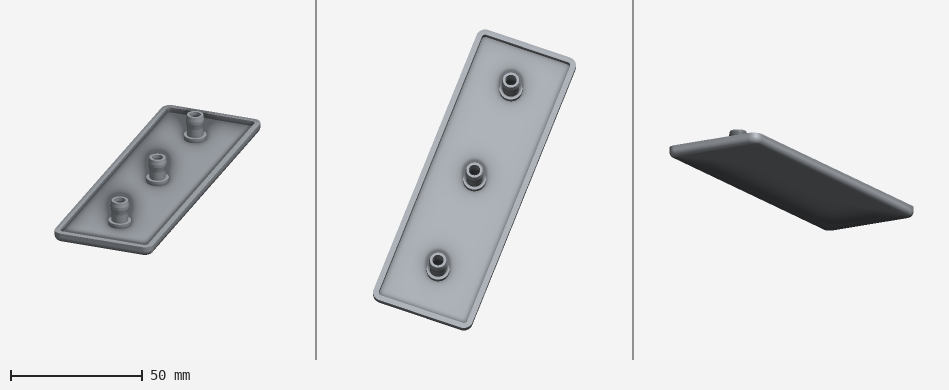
import cadquery as cq

length = 120.0
width = length / 3
plate_height = length / 30
corner_radius = 3.5
bottom_fillet = 2.2
wall = 2.2
pocket_depth = 2.0
floor_z = plate_height - pocket_depth

total_height = length / 10
post_pitch = length / 3
collar_radius = 4.3
collar_height = 1.7
shank_radius = 3.1
bulge_radius = 3.5
tip_radius = shank_radius
bulge_start_z = 7.0
bulge_low_z = 9.1
bulge_high_z = 10.2

hole_radius = 2.2
dome_center_z = floor_z + hole_radius


def rounded_block(size_x, size_y, height, radius):
    block = cq.Workplane("XY").box(size_x, size_y, height, centered=(True, True, False))
    return block.edges("|Z").fillet(radius)


def make_tray():
    tray = rounded_block(width, length, plate_height, corner_radius)
    tray = tray.faces("<Z").edges().fillet(bottom_fillet)
    pocket = rounded_block(width - 2 * wall, length - 2 * wall, pocket_depth, corner_radius - wall)
    return tray.cut(pocket.translate((0, 0, floor_z)))


def make_post():
    """Hollow barbed post with a collar, revolved about Z and rooted in the middle of the tray floor."""
    root_z = floor_z / 2
    collar_top_z = floor_z + collar_height
    return (
        cq.Workplane("XZ")
        .moveTo(0, root_z)
        .lineTo(collar_radius, root_z)
        .lineTo(collar_radius, collar_top_z)
        .lineTo(shank_radius, collar_top_z)
        .lineTo(shank_radius, bulge_start_z)
        .lineTo(bulge_radius, bulge_low_z)
        .lineTo(bulge_radius, bulge_high_z)
        .lineTo(tip_radius, total_height)
        .lineTo(hole_radius, total_height)
        .lineTo(hole_radius, dome_center_z)
        .radiusArc((0, floor_z), hole_radius)
        .close()
        .revolve(360, (0, 0, 0), (0, 1, 0))
    )


result = make_tray()
post = make_post()
for row in (-1, 0, 1):
    result = result.union(post.translate((0, row * post_pitch, 0)))